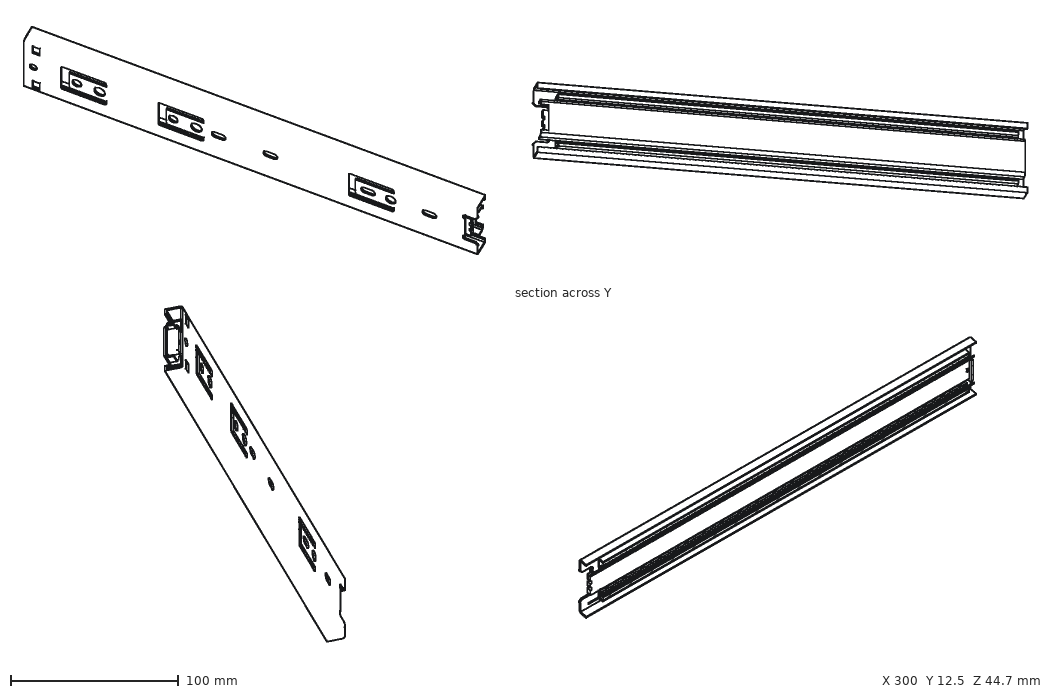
import cadquery as cq

SHEET = 1.2

OUTER_LENGTH = 299.5
OUTER_HEIGHT = 44.7
OUTER_HALF_HEIGHT = OUTER_HEIGHT / 2
OUTER_DEPTH = 11.5
OUTER_CORNER = 1.8
OUTER_LIP = 3.5

MIDDLE_START = 5.5
MIDDLE_END = 286.5
MIDDLE_HALF_HEIGHT = 16.8
MIDDLE_FRONT = 1.8
MIDDLE_CORNER = 1.8
WEB_RECESS = 1.5
WEB_SLOPE_INNER = 7.8
WEB_SLOPE_OUTER = 9.5
HOOK_START = 10.5
HOOK_REACH = 12.0
HOOK_DROP = 2.7
TONGUE_START = 1.8
TONGUE_END = 294.5
SCALLOP_Z = 2.7
SCALLOP_RADIUS = 1.2
PAD_LENGTH = 4.2
PAD_FRONT = 1.5
PILOT_X = 5.0
PILOT_RADIUS = 1.2
STOP_HALF_HEIGHT = 9.3
STOP_BACK = 10.5
STOP_THICKNESS = 2.0
STOP_ROUND = 1.8

INNER_START = 1.5
INNER_END = 297.5
INNER_HALF_HEIGHT = 12.0
INNER_BACK = 12.5
INNER_FRONT = 6.3
INNER_CORNER = 2.0
INNER_NOTCH_X = 292.8
INNER_NOTCH_HALF_HEIGHT = 8.0

CAGE_BACK = 9.5
CAGE_FLANGE = 2.5
CAGE_LEG = 1.5
CAGE_INNER_Z = 10.2
CAGE_CORNER = 1.2

END_NOTCH_X = 291.3
END_NOTCH_HALF_HEIGHT = 11.5
RELIEF_RADIUS = 1.5
RELIEF_Z = 9.5
END_TIP_X = 300.0
END_TIP_HALF_HEIGHT = 13.2
END_TIP_OUTER = 14.5
END_FLARE_X = 298.2
WINDOW_START = 5.7
WINDOW_WIDTH = 4.8
WINDOW_INNER_Z = 13.2
WINDOW_OUTER_Z = 19.5
TAB_LENGTH = 30.0
TAB_OUTER_Z = 10.5
TAB_INNER_Z = 7.0
TAB_CUTS = [(24.5, 5.5), (88.8, 5.5), (214.5, 4.5)]
TAB_ROUND = 1.5
ROUND_HOLES = [(6.3, 2.5), (35.0, 3.0), (50.0, 3.5), (98.7, 3.0), (114.0, 3.5), (242.5, 3.3)]
SLOT_CENTRES = [128.7, 163.0, 227.5, 268.0]
SLOT_LENGTH = 9.3
SLOT_HEIGHT = 4.8


def mirrored(half_outline):
    """Close a (y, z) outline that starts and ends on z = 0 with its reflection in z."""
    return half_outline + [(y, -z) for y, z in reversed(half_outline) if z != 0]


def along_x(outline, start, end):
    """Extrude a closed (y, z) outline from x = start to x = end."""
    return cq.Workplane("YZ", origin=(start, 0, 0)).polyline(outline).close().extrude(end - start)


def box_between(x_range, y_range, z_range):
    sizes = [high - low for low, high in (x_range, y_range, z_range)]
    corner = (x_range[0], y_range[0], z_range[0])
    return cq.Workplane("XY").box(*sizes, centered=False).translate(corner)


def web_sketch():
    """Work plane on the outer web's inner face; extruding SHEET goes out to the front face."""
    return cq.Workplane("XZ", origin=(0, SHEET, 0))


def outer_end_notch():
    notch = (
        web_sketch()
        .polyline([
            (END_NOTCH_X, -END_NOTCH_HALF_HEIGHT),
            (END_FLARE_X, -END_NOTCH_HALF_HEIGHT),
            (END_TIP_X, -END_TIP_HALF_HEIGHT),
            (END_TIP_X, END_TIP_HALF_HEIGHT),
            (END_FLARE_X, END_NOTCH_HALF_HEIGHT),
            (END_NOTCH_X, END_NOTCH_HALF_HEIGHT),
        ])
        .close()
        .extrude(SHEET)
    )
    reliefs = (
        web_sketch()
        .pushPoints([(END_NOTCH_X, RELIEF_Z), (END_NOTCH_X, -RELIEF_Z)])
        .circle(RELIEF_RADIUS)
        .extrude(SHEET)
    )
    return notch.union(reliefs)


def outer_end_tips():
    """Web extension that leaves a small point on each side of the end notch."""
    return (
        web_sketch()
        .polyline([
            (OUTER_LENGTH, -END_TIP_OUTER),
            (END_TIP_X, -END_TIP_HALF_HEIGHT),
            (END_TIP_X, END_TIP_HALF_HEIGHT),
            (OUTER_LENGTH, END_TIP_OUTER),
        ])
        .close()
        .extrude(SHEET)
    )


def tab_cut(start, cross_width):
    """U-shaped cut that frees a mounting tab pointing to -X."""
    frame = (
        web_sketch()
        .center(start + TAB_LENGTH / 2, 0)
        .rect(TAB_LENGTH, 2 * TAB_OUTER_Z)
        .extrude(SHEET)
        .edges("|Y")
        .fillet(TAB_ROUND)
    )
    tab = box_between(
        (start + cross_width, start + TAB_LENGTH), (0, SHEET), (-TAB_INNER_Z, TAB_INNER_Z)
    )
    return frame.cut(tab)


def make_outer_rail():
    inside_z = OUTER_HALF_HEIGHT - SHEET
    lip_z = OUTER_HALF_HEIGHT - OUTER_LIP
    rail = along_x(
        mirrored([
            (0, 0),
            (0, OUTER_HALF_HEIGHT),
            (OUTER_DEPTH, OUTER_HALF_HEIGHT),
            (OUTER_DEPTH, lip_z),
            (OUTER_DEPTH - SHEET, lip_z),
            (OUTER_DEPTH - SHEET, inside_z),
            (SHEET, inside_z),
            (SHEET, 0),
        ]),
        0,
        OUTER_LENGTH,
    )
    rail = rail.edges("|X and <Y").fillet(OUTER_CORNER)
    rail = rail.union(outer_end_tips()).cut(outer_end_notch())
    for start, cross_width in TAB_CUTS:
        rail = rail.cut(tab_cut(start, cross_width))
    for x, radius in ROUND_HOLES:
        rail = rail.cut(web_sketch().center(x, 0).circle(radius).extrude(SHEET))
    slots = web_sketch().pushPoints([(x, 0) for x in SLOT_CENTRES]).slot2D(SLOT_LENGTH, SLOT_HEIGHT)
    rail = rail.cut(slots.extrude(SHEET))
    window_x = (WINDOW_START, WINDOW_START + WINDOW_WIDTH)
    for window_z in [(WINDOW_INNER_Z, WINDOW_OUTER_Z), (-WINDOW_OUTER_Z, -WINDOW_INNER_Z)]:
        rail = rail.cut(box_between(window_x, (0, SHEET), window_z))
    return rail


def make_tongue(front_y):
    """Middle band of the middle rail's web, with its end pad and its bent-back stop."""
    back_y = front_y + SHEET
    band_z = (-WEB_SLOPE_INNER, WEB_SLOPE_INNER)
    tongue = box_between((TONGUE_START, TONGUE_END), (front_y, back_y), band_z)
    pad = box_between((TONGUE_END - PAD_LENGTH, TONGUE_END), (PAD_FRONT, back_y), band_z)
    hole_plane = cq.Workplane("XZ", origin=(0, back_y, 0))
    hole_depth = back_y - PAD_FRONT
    scallops = (
        hole_plane
        .pushPoints([(TONGUE_END, SCALLOP_Z), (TONGUE_END, -SCALLOP_Z)])
        .circle(SCALLOP_RADIUS)
        .extrude(hole_depth)
    )
    pilot = hole_plane.center(PILOT_X, 0).circle(PILOT_RADIUS).extrude(hole_depth)
    stop = box_between(
        (TONGUE_START, TONGUE_START + STOP_THICKNESS),
        (front_y, STOP_BACK),
        (-STOP_HALF_HEIGHT, STOP_HALF_HEIGHT),
    )
    stop = stop.edges("|Y and <X").fillet(STOP_ROUND)
    return tongue.union(pad).union(stop).cut(scallops).cut(pilot)


def make_middle_rail():
    recessed = MIDDLE_FRONT + WEB_RECESS
    inside_y = MIDDLE_FRONT + SHEET
    inside_z = MIDDLE_HALF_HEIGHT - SHEET
    rail = along_x(
        mirrored([
            (recessed, 0),
            (recessed, WEB_SLOPE_INNER),
            (MIDDLE_FRONT, WEB_SLOPE_OUTER),
            (MIDDLE_FRONT, MIDDLE_HALF_HEIGHT),
            (HOOK_START, MIDDLE_HALF_HEIGHT),
            (HOOK_REACH, inside_z),
            (HOOK_START, MIDDLE_HALF_HEIGHT - HOOK_DROP),
            (HOOK_START, inside_z),
            (inside_y, inside_z),
            (inside_y, WEB_SLOPE_OUTER),
            (recessed + SHEET, WEB_SLOPE_INNER),
            (recessed + SHEET, 0),
        ]),
        MIDDLE_START,
        MIDDLE_END,
    )
    front_corners = cq.selectors.BoxSelector(
        (MIDDLE_START, 0, -OUTER_HALF_HEIGHT), (MIDDLE_END, inside_y, OUTER_HALF_HEIGHT)
    )
    rail = rail.edges(">Z or <Z").edges(front_corners).fillet(MIDDLE_CORNER)
    return rail.union(make_tongue(recessed))


def make_inner_rail():
    inside_y = INNER_BACK - SHEET
    inside_z = INNER_HALF_HEIGHT - SHEET
    bend_z = INNER_HALF_HEIGHT - INNER_CORNER
    rail = along_x(
        mirrored([
            (INNER_BACK, 0),
            (INNER_BACK, bend_z),
            (INNER_BACK - INNER_CORNER, INNER_HALF_HEIGHT),
            (INNER_FRONT, INNER_HALF_HEIGHT),
            (INNER_FRONT, inside_z),
            (INNER_BACK - INNER_CORNER, inside_z),
            (inside_y, bend_z),
            (inside_y, 0),
        ]),
        INNER_START,
        INNER_END,
    )
    end_notch = box_between(
        (INNER_NOTCH_X, INNER_END),
        (inside_y, INNER_BACK),
        (-INNER_NOTCH_HALF_HEIGHT, INNER_NOTCH_HALF_HEIGHT),
    )
    return rail.cut(end_notch)


def make_cage(side):
    """L-shaped ball cage in the middle rail's corner; side is +1 (top) or -1 (bottom)."""
    web_y = MIDDLE_FRONT + SHEET
    leg_y = web_y + CAGE_LEG
    flange_z = MIDDLE_HALF_HEIGHT - SHEET
    leg_z = flange_z - CAGE_FLANGE
    upper_outline = [
        (web_y, CAGE_INNER_Z),
        (web_y, flange_z),
        (CAGE_BACK, flange_z),
        (CAGE_BACK, leg_z),
        (leg_y + CAGE_CORNER, leg_z),
        (leg_y, leg_z - CAGE_CORNER),
        (leg_y, CAGE_INNER_Z),
    ]
    return along_x([(y, side * z) for y, z in upper_outline], MIDDLE_START, MIDDLE_END)


outer_rail = make_outer_rail()
middle_rail = make_middle_rail()
inner_rail = make_inner_rail()
cages = [make_cage(side) for side in (1, -1)]

result = cq.Compound.makeCompound(
    [outer_rail.val(), middle_rail.val(), inner_rail.val(), *[cage.val() for cage in cages]]
)